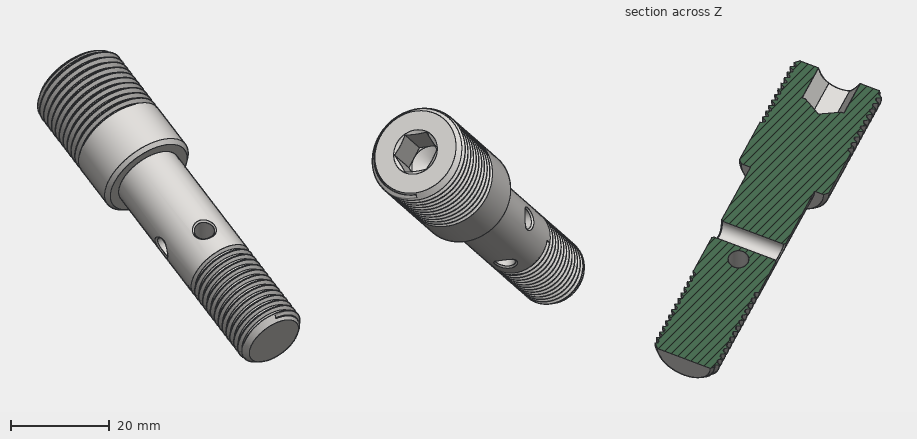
import cadquery as cq
import math

length = 76.2
head_radius = 10.0
head_length = 28.0
shank_radius = 7.2

socket_end_chamfer = 1.15
head_back_chamfer = 0.85
tip_chamfer = 1.3

pitch = 1.5
crest_width = pitch / 8
flank_angle = 30.0
groove_overshoot = 0.1

head_thread_depth = 0.88
head_thread_start = 0.3
head_thread_start_angle = 0.0
head_thread_turns = 11.25

shank_thread_depth = 0.725
shank_thread_start = 55.1
shank_thread_start_angle = -80.0
shank_thread_turns = 13.7

hex_across_flats = 8.0
hex_depth = 8.0
socket_drill_angle = 120.0
socket_mouth_diameter = 9.5
socket_mouth_depth = 0.45

cross_hole_diameter = 4.1
cross_hole_chamfer = 0.4
y_hole_position = 44.4
z_hole_position = 49.45


def rod(radius, start, end):
    """Cylinder along X between two stations."""
    return cq.Workplane("YZ", origin=(start, 0, 0)).circle(radius).extrude(end - start)


def cone(start_radius, end_radius, start, depth):
    """Cone or frustum along X, starting at the given station."""
    return cq.Workplane(cq.Solid.makeCone(
        start_radius, end_radius, depth, cq.Vector(start, 0, 0), cq.Vector(1, 0, 0)))


def drilled_shank():
    """Shank with two crossing through holes and broken hole edges."""
    shank = rod(shank_radius, head_length, length)
    for plane, position in (("XZ", y_hole_position), ("XY", z_hole_position)):
        hole = (
            cq.Workplane(plane)
            .center(position, 0)
            .circle(cross_hole_diameter / 2)
            .extrude(2 * shank_radius, both=True)
        )
        shank = shank.cut(hole)
    shank = shank.edges("%BSPLINE or %OTHER").chamfer(cross_hole_chamfer)
    return shank.faces(">X").edges().chamfer(tip_chamfer)


def head():
    """Plain head with both rims chamfered."""
    blank = rod(head_radius, 0, head_length)
    blank = blank.faces("<X").edges().chamfer(socket_end_chamfer)
    return blank.faces(">X").edges().chamfer(head_back_chamfer)


def groove_piece(crest_radius, depth, turns):
    """Stretch of right-handed V groove around Z, starting on the XZ plane."""
    root_radius = crest_radius - depth
    outer_radius = crest_radius + groove_overshoot
    slope = math.tan(math.radians(flank_angle))
    crest_half = (pitch - crest_width) / 2
    root_half = crest_half - depth * slope
    outer_half = crest_half + groove_overshoot * slope
    path = cq.Wire.makeHelix(pitch, turns * pitch, root_radius)
    return (
        cq.Workplane("XZ")
        .polyline([
            (root_radius, -root_half),
            (outer_radius, -outer_half),
            (outer_radius, outer_half),
            (root_radius, root_half),
        ])
        .close()
        .sweep(cq.Workplane(path), isFrenet=True)
    )


def cut_thread(body, crest_radius, depth, start, start_angle, turns):
    """Cut a helical groove in one-turn pieces, ending with the leftover part of a turn."""
    pieces = []
    for index in range(math.ceil(turns)):
        piece = (
            groove_piece(crest_radius, depth, min(1, turns - index))
            .rotate((0, 0, 0), (0, 0, 1), start_angle)
            .rotate((0, 0, 0), (0, 1, 0), 90)
            .translate((start + index * pitch, 0, 0))
        )
        pieces.append(piece.val())
    for separate_pieces in (pieces[0::2], pieces[1::2]):
        body = body.cut(cq.Workplane(cq.Compound.makeCompound(separate_pieces)))
    return body


def hex_socket():
    """Hexagonal recess with a drill-point floor and a countersunk mouth."""
    inscribed_radius = hex_across_flats / 2
    hexagon_diameter = hex_across_flats / math.cos(math.radians(30))
    point_depth = inscribed_radius / math.tan(math.radians(socket_drill_angle / 2))
    recess = cq.Workplane("YZ").polygon(6, hexagon_diameter).extrude(hex_depth)
    drill_point = cone(inscribed_radius, 0, hex_depth, point_depth)
    mouth = cone(socket_mouth_diameter / 2, inscribed_radius, 0, socket_mouth_depth)
    return recess.union(drill_point).union(mouth)


threaded_head = cut_thread(
    head(), head_radius, head_thread_depth,
    head_thread_start, head_thread_start_angle, head_thread_turns)

threaded_shank = cut_thread(
    drilled_shank(), shank_radius, shank_thread_depth,
    shank_thread_start, shank_thread_start_angle, shank_thread_turns)

result = threaded_head.union(threaded_shank).cut(hex_socket())